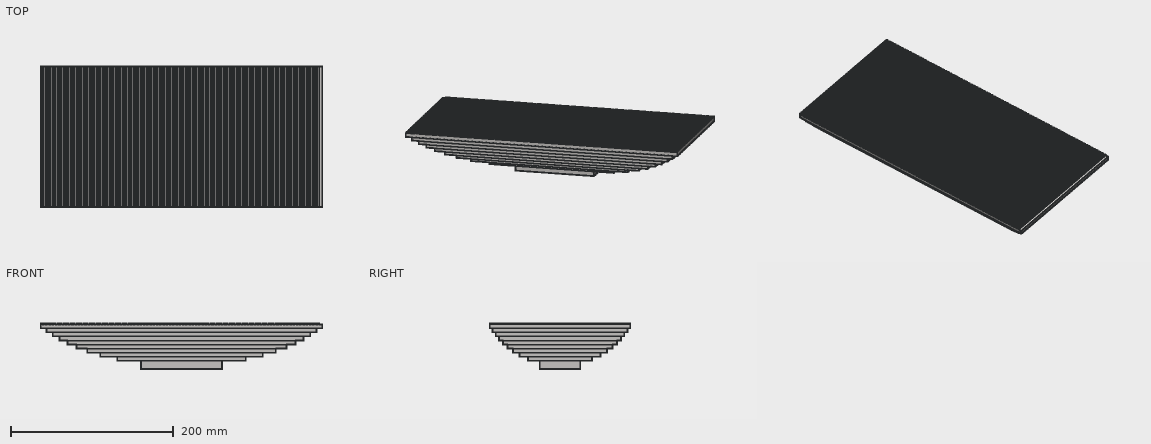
import cadquery as cq
import math

foot_width = 50.0
length_to_width = 2.0
foot_height = 10.0
tier_height = 5.0
stepped_tier_count = 9
rib_pitch = 4.0
rib_width = 2.0
rib_height = 1.0


def tier_width(level):
    """Width along Y of a tier: it grows with the logarithm of the level; level 0 is the foot."""
    return foot_width * math.log2(level + 2)


top_width = tier_width(stepped_tier_count)
top_length = top_width * length_to_width
plate_top = foot_height + stepped_tier_count * tier_height
rib_count = math.floor(top_length / rib_pitch)


def make_tier(level, height, bottom):
    """Rectangular slab centred on the Z axis."""
    width = tier_width(level)
    length = width * length_to_width
    slab = cq.Workplane("XY").box(length, width, height, centered=(True, True, False))
    return slab.translate((0, 0, bottom))


def make_stepped_body():
    """Foot with progressively larger tiers stacked on it."""
    body = make_tier(0, foot_height, 0)
    for level in range(1, stepped_tier_count + 1):
        bottom = foot_height + (level - 1) * tier_height
        body = body.union(make_tier(level, tier_height, bottom))
    return body


def make_ribs():
    """Parallel ribs along Y, spaced from the -X edge of the top tier."""
    first_center = (rib_width - top_length) / 2
    centers = [(first_center + index * rib_pitch, 0) for index in range(rib_count)]
    return (
        cq.Workplane("XY")
        .workplane(offset=plate_top)
        .pushPoints(centers)
        .rect(rib_width, top_width)
        .extrude(rib_height)
    )


result = make_stepped_body().union(make_ribs())